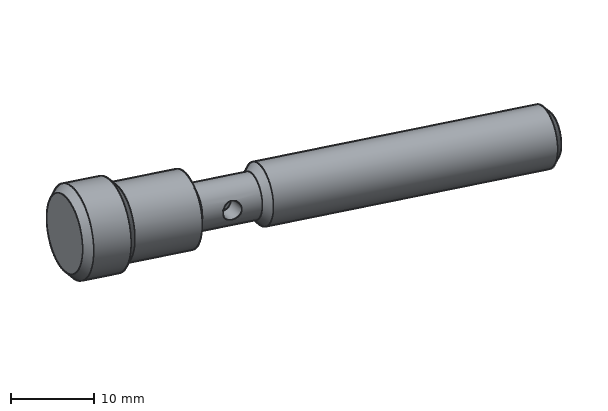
import cadquery as cq

head_radius = 6.0
collar_radius = 5.0
neck_radius = 3.0
shaft_radius = 4.0

bevel = 1.0
head_length = 7.0
collar_length = 10.0
neck_length = 8.0
total_length = 65.0

hole_diameter = 2.5
hole_depth = neck_radius

head_end = head_length
collar_end = head_end + collar_length
neck_end = collar_end + neck_length
hole_y = collar_end + neck_length / 2


def turned_body():
    profile = [
        (0, 0),
        (head_radius - bevel, 0),
        (head_radius, bevel),
        (head_radius, head_end - bevel),
        (collar_radius, head_end),
        (collar_radius, collar_end - bevel),
        (neck_radius, collar_end),
        (neck_radius, neck_end),
        (shaft_radius, neck_end + bevel),
        (shaft_radius, total_length - bevel),
        (shaft_radius - bevel, total_length),
        (0, total_length),
    ]
    return cq.Workplane("XY").polyline(profile).close().revolve(360, (0, 0, 0), (0, 1, 0))


def neck_hole():
    hole_floor = cq.Workplane("YZ").workplane(offset=neck_radius - hole_depth)
    return hole_floor.center(hole_y, 0).circle(hole_diameter / 2).extrude(hole_depth)


result = turned_body().cut(neck_hole())